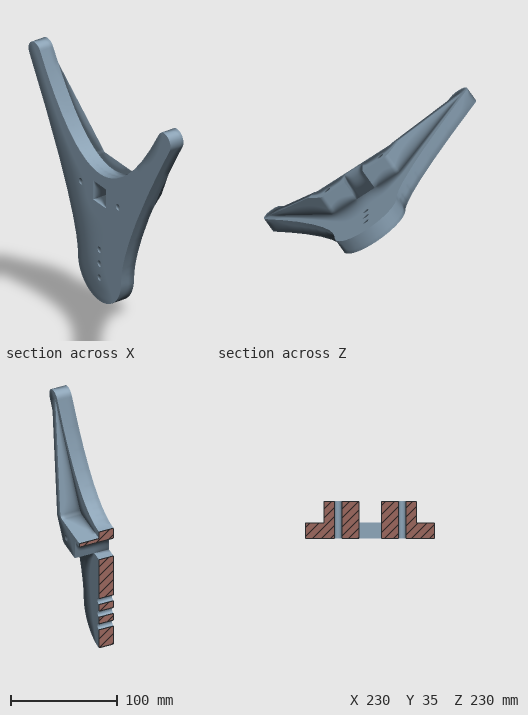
import cadquery as cq
import math

SPAN = 230.0
PLATE_THICKNESS = 15.0
RIB_HEIGHT = 20.0

TIP_RADIUS = 10.0
FOOT_RADIUS = 35.0
ARM_ANGLE = 60.0
SADDLE_Z = 22.5
ARM_PULL = 110.5
FOOT_PULL = 27.5

HOLE_DIAMETER = 6.5
SIDE_HOLE_SPACING = 60.0
FOOT_HOLE_TOP_Z = -60.0
FOOT_HOLE_PITCH = 15.0
FOOT_HOLE_COUNT = 3
SQUARE_SIDE = 20.5

RIB_BOTTOM_Z = -10.0
RIB_FLOOR_Z = 15.0
RIB_FLOOR_HALF = 42.3
RIB_ARM_THICKNESS = 9.0
RIB_ARM_ANGLE = 57.4
RIB_FILLET = 5.0

TIP_X = SPAN / 2 - TIP_RADIUS
TIP_Z = SPAN / 2 - TIP_RADIUS
FOOT_Z = -SPAN / 2 + FOOT_RADIUS
BACK_Y = PLATE_THICKNESS + RIB_HEIGHT


def along(angle, length):
    """X and Z components of a length laid off at an angle from X."""
    return length * math.cos(math.radians(angle)), length * math.sin(math.radians(angle))


def shifted(point, offset):
    return point[0] + offset[0], point[1] + offset[1]


def mirrored(point):
    return -point[0], point[1]


def make_plate():
    """Y-shaped plate: round tips and foot joined by smooth curves."""
    tip = (TIP_X, TIP_Z)
    inner = shifted(tip, along(ARM_ANGLE + 90, TIP_RADIUS))
    outer = shifted(tip, along(ARM_ANGLE - 90, TIP_RADIUS))
    crown = shifted(tip, along(ARM_ANGLE, TIP_RADIUS))
    foot = (FOOT_RADIUS, FOOT_Z)

    saddle_pull = (inner[1] - SADDLE_Z) / (0.75 * math.sin(math.radians(ARM_ANGLE)))
    inner_handle = shifted(inner, along(ARM_ANGLE, -saddle_pull))
    outer_handle = shifted(outer, along(ARM_ANGLE, -ARM_PULL))
    foot_handle = (FOOT_RADIUS, FOOT_Z + FOOT_PULL)

    outline = (
        cq.Workplane("XZ")
        .moveTo(*foot)
        .bezier([foot, foot_handle, outer_handle, outer])
        .threePointArc(crown, inner)
        .bezier([inner, inner_handle, mirrored(inner_handle), mirrored(inner)])
        .threePointArc(mirrored(crown), mirrored(outer))
        .bezier([mirrored(p) for p in (outer, outer_handle, foot_handle, foot)])
        .threePointArc((0, -SPAN / 2), foot)
        .close()
    )
    return outline.extrude(-PLATE_THICKNESS)


def make_rib():
    """Bent rib on the plate's back, with arms that taper down to the plate at the tips."""
    slope = math.tan(math.radians(RIB_ARM_ANGLE))
    floor_corner = (RIB_FLOOR_HALF, RIB_FLOOR_Z)
    outer_at_floor = RIB_FLOOR_HALF + RIB_ARM_THICKNESS / math.sin(math.radians(RIB_ARM_ANGLE))
    bottom_corner = (outer_at_floor - (RIB_FLOOR_Z - RIB_BOTTOM_Z) / slope, RIB_BOTTOM_Z)

    taper_start = RIB_FILLET * math.tan(math.radians(RIB_ARM_ANGLE / 2))
    cosine, sine = along(RIB_ARM_ANGLE, 1)
    arm_length = (TIP_X - floor_corner[0]) * cosine + (TIP_Z - floor_corner[1]) * sine
    inner_end = shifted(floor_corner, along(RIB_ARM_ANGLE, arm_length))
    outer_end = shifted(inner_end, along(RIB_ARM_ANGLE - 90, RIB_ARM_THICKNESS))

    right_side = [bottom_corner, outer_end, inner_end, floor_corner]
    left_side = [mirrored(p) for p in reversed(right_side)]
    rib = (
        cq.Workplane("XZ", origin=(0, PLATE_THICKNESS, 0))
        .polyline(right_side + left_side)
        .close()
        .extrude(-RIB_HEIGHT)
    )
    bends = cq.selectors.BoxSelector(
        (-outer_at_floor, 0, RIB_BOTTOM_Z - RIB_FILLET),
        (outer_at_floor, 2 * BACK_Y, RIB_FLOOR_Z + RIB_FILLET),
    )
    rib = rib.edges("|Y").edges(bends).fillet(RIB_FILLET)

    arm_plane = cq.Plane(
        origin=(floor_corner[0], PLATE_THICKNESS, floor_corner[1]),
        xDir=(cosine, 0, sine),
        normal=(-sine, 0, cosine),
    )
    wedge = (
        cq.Workplane(arm_plane)
        .polyline([(taper_start, RIB_HEIGHT), (arm_length, 0), (arm_length, RIB_HEIGHT)])
        .close()
        .extrude(2 * RIB_ARM_THICKNESS, both=True)
    )
    return rib.cut(wedge).cut(wedge.mirror("YZ"))


def make_openings():
    """Five round holes and the square opening, all running through plate and rib."""
    centres = [(-SIDE_HOLE_SPACING / 2, 0), (SIDE_HOLE_SPACING / 2, 0)]
    for index in range(FOOT_HOLE_COUNT):
        centres.append((0, FOOT_HOLE_TOP_Z - index * FOOT_HOLE_PITCH))
    holes = cq.Workplane("XZ").pushPoints(centres).circle(HOLE_DIAMETER / 2).extrude(-BACK_Y)
    square = cq.Workplane("XZ").rect(SQUARE_SIDE, SQUARE_SIDE).extrude(-BACK_Y)
    return holes.union(square)


result = make_plate().union(make_rib()).cut(make_openings())